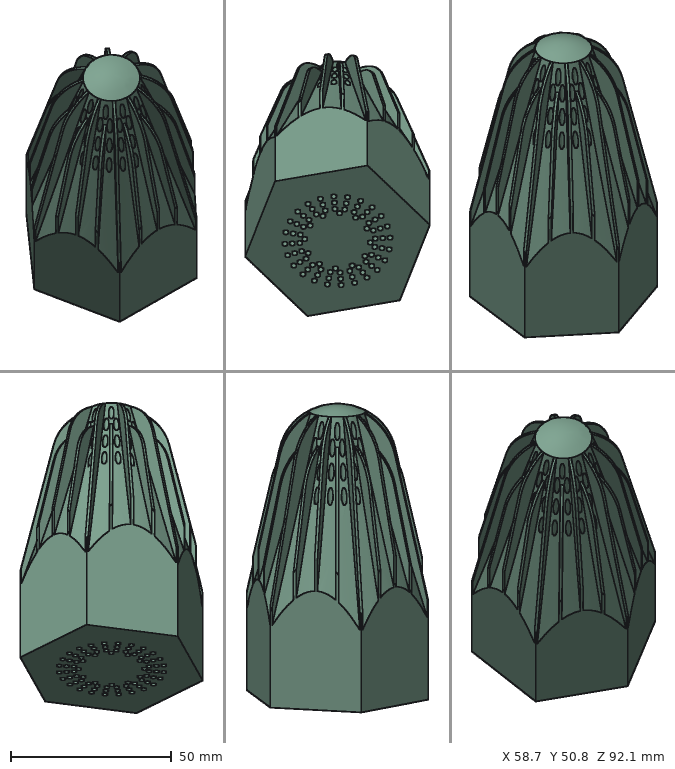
import cadquery as cq
import math

height = 92.1
across_flats = 50.8
across_corners = across_flats / math.cos(math.radians(30))

dome_radius = 19.1
cap_rim_radius = 8.8
core_radius_at_flats = across_flats / 2
core_height_at_flats = 37.75
dome_center_z = height - dome_radius
cap_rim_z = dome_center_z + math.sqrt(dome_radius**2 - cap_rim_radius**2)
core_slope = (core_radius_at_flats - cap_rim_radius) / (cap_rim_z - core_height_at_flats)
core_base_radius = cap_rim_radius + core_slope * cap_rim_z

fin_pairs = 12
fin_pitch = 360 / fin_pairs
fin_thickness = 0.9
fin_taper = math.radians(13)
short_fin_setback = 8.75

hole_diameter = 1.7
hole_rings = [
    (10.2, fin_pairs, fin_pitch / 2),
    (11.8, 2 * fin_pairs, fin_pitch / 4),
    (14.1, 2 * fin_pairs, fin_pitch / 4),
    (16.4, 2 * fin_pairs, fin_pitch / 4),
]


def hexagonal_bar():
    return cq.Workplane("XY").polygon(6, across_corners).extrude(height)


def core():
    """Solid of revolution: steep cone with a spherical cap on top."""
    cap_half_angle = math.asin(cap_rim_radius / dome_radius) / 2
    cap_middle = (
        dome_radius * math.sin(cap_half_angle),
        dome_center_z + dome_radius * math.cos(cap_half_angle),
    )
    return (
        cq.Workplane("XZ")
        .lineTo(core_base_radius, 0)
        .lineTo(cap_rim_radius, cap_rim_z)
        .threePointArc(cap_middle, (0, height))
        .close()
        .revolve(360, (0, 0, 0), (0, 1, 0))
    )


def fin(setback):
    """Fin along +X: straight tapered edge that runs tangentially into a round nose."""
    nose_x = setback * math.sin(fin_taper)
    nose_z = dome_center_z - setback * math.cos(fin_taper)

    def nose_point(angle):
        return (nose_x + dome_radius * math.cos(angle), nose_z + dome_radius * math.sin(angle))

    edge_top = nose_point(fin_taper)
    edge_foot = (edge_top[0] + edge_top[1] * math.tan(fin_taper), 0)
    nose_end_angle = math.acos((cap_rim_radius - nose_x) / dome_radius)
    nose_end = nose_point(nose_end_angle)
    return (
        cq.Workplane("XZ")
        .lineTo(*edge_foot)
        .lineTo(*edge_top)
        .threePointArc(nose_point((fin_taper + nose_end_angle) / 2), nose_end)
        .lineTo(0, nose_end[1])
        .close()
        .extrude(fin_thickness / 2, both=True)
    )


def fins_around_axis(setback, first_angle):
    """One full set of fins, evenly spaced around Z."""
    blade = fin(setback)
    return [
        blade.rotate((0, 0, 0), (0, 0, 1), first_angle + i * fin_pitch)
        for i in range(fin_pairs)
    ]


def air_holes():
    holes = cq.Workplane("XY")
    for pitch_radius, count, first_angle in hole_rings:
        ring = cq.Workplane("XY").polarArray(pitch_radius, first_angle, 360, count)
        holes = holes.add(ring.circle(hole_diameter / 2).extrude(height))
    return holes.combine()


long_fins = fins_around_axis(0, 0)
short_fins = fins_around_axis(short_fin_setback, fin_pitch / 2)

finned_nose = core()
for blade in long_fins + short_fins:
    finned_nose = finned_nose.union(blade)

result = hexagonal_bar().intersect(finned_nose).cut(air_holes())